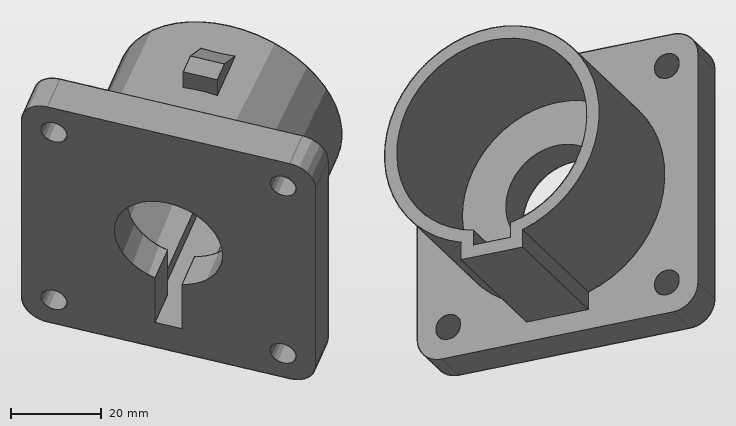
import cadquery as cq

flange_side = 68.0
flange_thickness = 9.0
corner_radius = 6.0
screw_hole_diameter = 6.0
screw_hole_spacing = 53.0

total_depth = 43.3
barrel_diameter = 52.0
wall = 3.0
barrel_length = total_depth - flange_thickness
barrel_radius = barrel_diameter / 2
cavity_radius = barrel_radius - wall

bore_diameter = 25.0
slot_width = 6.25
slot_bottom = 26.2

rib_width = 14.95
rib_bottom = slot_bottom + wall
channel_width = rib_width - 2 * wall

catch_width = 7.9
catch_top = 30.7
catch_front = 22.5
catch_ramp_top = 27.6
catch_ramp_end = 35.15
catch_ramp_foot = (barrel_radius**2 - (catch_width / 2) ** 2) ** 0.5
catch_root = (barrel_radius + cavity_radius) / 2


def cylinder_along_y(radius, start, length):
    return cq.Workplane("XZ", origin=(0, start, 0)).circle(radius).extrude(-length)


def hanging_block(width, bottom, start, length):
    """Block from the barrel axis down to Z = -bottom."""
    return cq.Workplane("XY").box(width, length, bottom, centered=(True, False, False)).translate(
        (0, start, -bottom)
    )


def make_flange():
    plate = cq.Workplane("XZ").rect(flange_side, flange_side).extrude(-flange_thickness)
    plate = plate.edges("|Y").fillet(corner_radius)
    holes = (
        cq.Workplane("XZ")
        .rect(screw_hole_spacing, screw_hole_spacing, forConstruction=True)
        .vertices()
        .circle(screw_hole_diameter / 2)
        .extrude(-flange_thickness)
    )
    return plate.cut(holes)


def make_barrel():
    tube = cylinder_along_y(barrel_radius, flange_thickness, barrel_length)
    rib = hanging_block(rib_width, rib_bottom, flange_thickness, barrel_length)
    cavity = cylinder_along_y(cavity_radius, flange_thickness, barrel_length)
    channel = hanging_block(channel_width, slot_bottom, flange_thickness, barrel_length)
    return tube.union(rib).cut(cavity).cut(channel)


def make_catch():
    return (
        cq.Workplane("YZ")
        .moveTo(catch_front, catch_root)
        .lineTo(catch_front, catch_top)
        .lineTo(catch_ramp_top, catch_top)
        .lineTo(catch_ramp_end, catch_ramp_foot)
        .lineTo(catch_ramp_end, catch_root)
        .close()
        .extrude(catch_width / 2, both=True)
    )


bore = cylinder_along_y(bore_diameter / 2, 0, flange_thickness)
slot = hanging_block(slot_width, slot_bottom, 0, flange_thickness)

result = make_flange().union(make_barrel()).union(make_catch()).cut(bore).cut(slot)